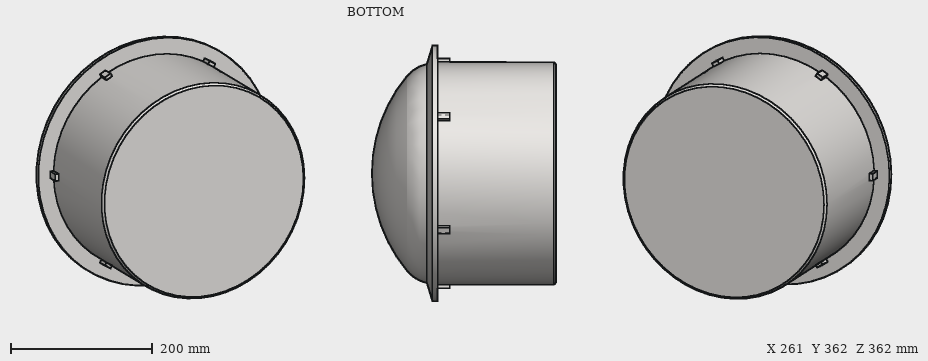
import cadquery as cq
import math

length = 261.0
flange_radius = 181.0

body_radius = 157.5
end_chamfer = 3.3

crown_height = 49.5
crown_radius = 137.5
shoulder_end_x = 78.0
shoulder_end_radius = 155.0

flange_rim_x = 86.0
flange_back_x = 93.0

rib_count = 6
rib_width = 10.0
rib_length = 17.5
rib_outer_radius = 162.5
rib_embed = 11.0

sphere_radius = (crown_radius**2 + crown_height**2) / (2 * crown_height)
crown_angle = math.asin(crown_radius / sphere_radius)
crown_mid = (
    sphere_radius * (1 - math.cos(crown_angle / 2)),
    sphere_radius * math.sin(crown_angle / 2),
)
crown_tangent = (math.sin(crown_angle), math.cos(crown_angle))


def make_revolved_body():
    """Dome, flange and cylinder from one half profile (x, radius)."""
    shoulder_start = cq.Vector(crown_height, crown_radius)
    shoulder_end = cq.Vector(shoulder_end_x, shoulder_end_radius)
    shoulder = cq.Edge.makeTangentArc(shoulder_start, cq.Vector(*crown_tangent), shoulder_end)
    shoulder_mid = shoulder.positionAt(0.5).toTuple()[:2]
    profile = (
        cq.Workplane("XY")
        .moveTo(0, 0)
        .threePointArc(crown_mid, (crown_height, crown_radius))
        .threePointArc(shoulder_mid, (shoulder_end_x, shoulder_end_radius))
        .lineTo(flange_rim_x, flange_radius)
        .lineTo(flange_back_x, flange_radius)
        .lineTo(flange_back_x, body_radius)
        .lineTo(length - end_chamfer, body_radius)
        .lineTo(length, body_radius - end_chamfer)
        .lineTo(length, 0)
        .close()
    )
    return profile.revolve(360, (0, 0, 0), (1, 0, 0))


def make_rib(angle):
    """One rib, turned about X from the +Y direction."""
    rib_bottom = body_radius - rib_embed
    rib = cq.Workplane("XY").box(
        rib_length, rib_outer_radius - rib_bottom, rib_width, centered=(False, False, True)
    )
    return rib.translate((flange_back_x, rib_bottom, 0)).rotate((0, 0, 0), (1, 0, 0), angle)


result = make_revolved_body()
for index in range(rib_count):
    result = result.union(make_rib(index * 360 / rib_count))